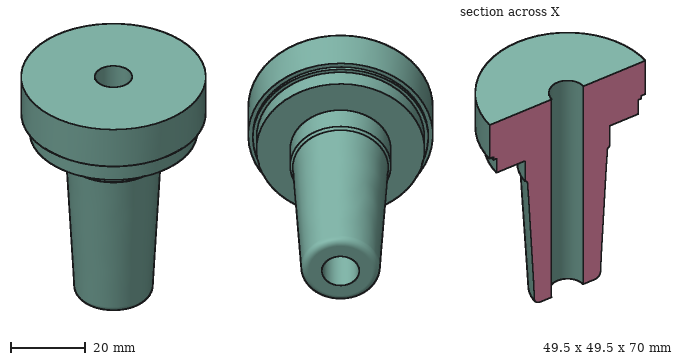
import cadquery as cq
import math

total_height = 70.0
head_diameter = 49.5
head_height = 12.0
step_diameter = 47.0
step_height = 1.0
spigot_diameter = 45.0
spigot_height = 5.0
neck_diameter = 27.0
neck_height = 7.0
neck_chamfer = 0.7
taper_angle = 3.0
tip_fillet = 2.0
bore_diameter = 10.0

head_bottom = total_height - head_height
step_bottom = head_bottom - step_height
spigot_bottom = step_bottom - spigot_height
neck_bottom = spigot_bottom - neck_height
shank_top = neck_bottom - neck_chamfer

shank_top_radius = neck_diameter / 2 - neck_chamfer
tip_radius = shank_top_radius - shank_top * math.tan(math.radians(taper_angle))


def disc(diameter, bottom, top):
    """Cylinder about Z between two levels."""
    return cq.Workplane("XY").workplane(offset=bottom).circle(diameter / 2).extrude(top - bottom)


def stepped_head():
    """Wide head with the narrow step and the spigot below it."""
    head = disc(head_diameter, head_bottom, total_height)
    step = disc(step_diameter, step_bottom, head_bottom)
    spigot = disc(spigot_diameter, spigot_bottom, step_bottom)
    return head.union(step).union(spigot)


def neck():
    """Cylindrical neck, chamfered where it meets the tapered shank."""
    plain_neck = disc(neck_diameter, shank_top, spigot_bottom)
    return plain_neck.faces("<Z").edges().chamfer(neck_chamfer)


def tapered_shank():
    """Conical shank with a rounded tip."""
    cone_profile = (
        cq.Workplane("XZ")
        .lineTo(tip_radius, 0)
        .lineTo(shank_top_radius, shank_top)
        .lineTo(0, shank_top)
        .close()
    )
    cone = cone_profile.revolve(360, (0, 0, 0), (0, 1, 0))
    return cone.faces("<Z").edges().fillet(tip_fillet)


bore = disc(bore_diameter, 0, total_height)

result = stepped_head().union(neck()).union(tapered_shank()).cut(bore)